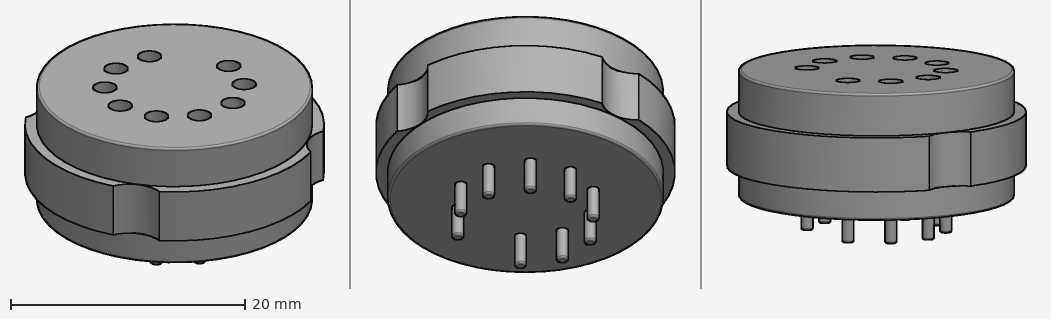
import cadquery as cq
import math

BODY_DIAMETER = 23.5
BODY_HEIGHT = 11.0
BODY_EDGE_FILLET = 0.2

FLANGE_RADIUS = 12.75
FLANGE_BOTTOM = 2.65
FLANGE_HEIGHT = 4.68
NOTCH_RADIUS = 3.0
NOTCH_FLOOR_RADIUS = 11.79
NOTCH_ANGLES = (0, 180, 270)

CONTACT_CIRCLE_RADIUS = 5.95
POSITION_COUNT = 10
EMPTY_ANGLE = 90
SOCKET_DIAMETER = 2.02
SOCKET_DEPTH = BODY_HEIGHT / 2
PIN_DIAMETER = 1.0
PIN_LENGTH = 3.0
PIN_TIP_FILLET = 0.2


def polar_point(radius, angle):
    """Point in the XY plane at an angle in degrees from +X."""
    return (
        radius * math.cos(math.radians(angle)),
        radius * math.sin(math.radians(angle)),
    )


def make_body():
    body = cq.Workplane("XY").circle(BODY_DIAMETER / 2).extrude(BODY_HEIGHT)
    return body.edges("%CIRCLE").fillet(BODY_EDGE_FILLET)


def make_flange():
    notch_center_radius = NOTCH_FLOOR_RADIUS + NOTCH_RADIUS
    notch_centers = [polar_point(notch_center_radius, angle) for angle in NOTCH_ANGLES]
    base = cq.Workplane("XY").workplane(offset=FLANGE_BOTTOM)
    notches = base.pushPoints(notch_centers).circle(NOTCH_RADIUS).extrude(FLANGE_HEIGHT)
    return base.circle(FLANGE_RADIUS).extrude(FLANGE_HEIGHT).cut(notches)


def contact_points():
    """Evenly spaced positions, leaving out the empty one on the +Y side."""
    pitch_angle = 360 / POSITION_COUNT
    return [
        polar_point(CONTACT_CIRCLE_RADIUS, EMPTY_ANGLE + i * pitch_angle)
        for i in range(1, POSITION_COUNT)
    ]


def make_pins(points):
    pins = cq.Workplane("XY").pushPoints(points).circle(PIN_DIAMETER / 2).extrude(-PIN_LENGTH)
    return pins.faces("<Z").edges().fillet(PIN_TIP_FILLET)


def make_sockets(points):
    top = cq.Workplane("XY").workplane(offset=BODY_HEIGHT)
    return top.pushPoints(points).circle(SOCKET_DIAMETER / 2).extrude(-SOCKET_DEPTH)


contacts = contact_points()
result = make_body().union(make_flange()).union(make_pins(contacts)).cut(make_sockets(contacts))